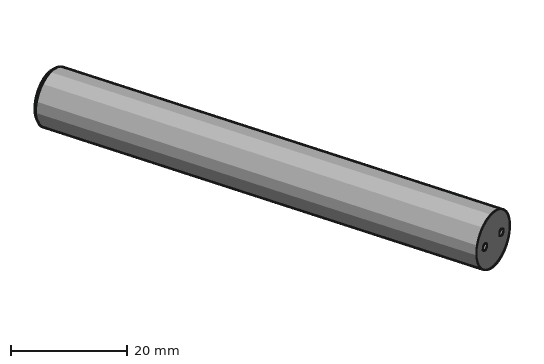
import cadquery as cq
import math

length = 90.0
diameter = 11.0
chamfer_depth = 0.5
chamfer_length = 0.6

bore_diameter = 1.35
bore_spacing = 5.4
helix_angle = 30.0

helix_pitch = math.pi * diameter / math.tan(math.radians(helix_angle))
twist = 360.0 * length / helix_pitch


def make_rod():
    """Solid rod centred on the origin, chamfered at its -X end only."""
    rod = cq.Workplane("YZ", origin=(-length / 2, 0, 0)).circle(diameter / 2).extrude(length)
    return rod.faces("<X").chamfer(chamfer_length, chamfer_depth)


def make_bore(offset):
    """Right-handed helical bore through the full length, starting at Y = offset."""
    start_plane = cq.Workplane("YZ", origin=(-length / 2, 0, 0))
    return start_plane.moveTo(offset, 0).circle(bore_diameter / 2).twistExtrude(length, twist)


result = make_rod()
for side in (-1, 1):
    result = result.cut(make_bore(side * bore_spacing / 2))